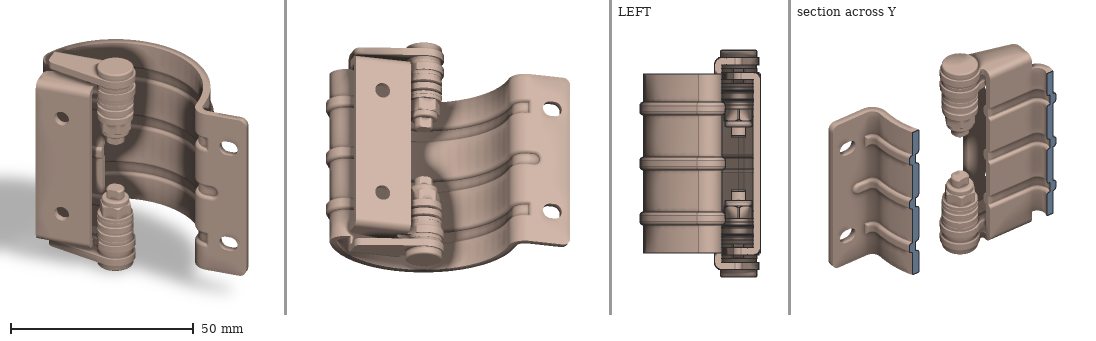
import cadquery as cq
import math


overall_length = 65.0
overall_height = 62.0
sheet = 2.0

strap_height = 49.0
strap_radius = 26.0
bend_radius = 2.5
plate_bend_x = -19.5
flange_front_y = -6.0
flange_corner_radius = 2.0
slot_x = 35.0
slot_length = 5.3
slot_width = 4.2

bead_pitch = 15.0
bead_height = 1.0
rib_width = 3.5
groove_floor_width = 3.0
middle_rib_end_x = 31.7
middle_groove_end_x = 30.0

plate_end_x = -5.4
eye_radius = 5.5
ear_corner_radius = 2.0
outer_leaf_height = 58.0
outer_ear_corner_y = -0.6
outer_notch_floor_y = 3.3
outer_notch_radius = 0.5
inner_leaf_height = 49.9
inner_leaf_left_x = -21.0
inner_ear_corner_y = 1.05
inner_ear_joint_y = 4.2
inner_notch_radius = 2.0
screw_hole_x = -13.45
screw_hole_diameter = 4.2

shaft_radius = 2.5
head_radius = 5.0
head_rounding = 0.5
spacer_radius = 4.9
tab_reach = 7.9
tab_width = 2.8
tab_root_radius = 0.8
tab_tip_radius = 0.9
spring_rim = 0.85
spring_gap = 0.8
spring_gap_radius = 3.8
nut_across_flats = 7.85
nut_corner_radius = 4.4
nut_turn = 30
nut_height = 3.4
nut_chamfer = 0.4
collar_radius = 3.8
collar_height = 1.55
collar_rounding = 0.5
tip_length = 2.8
tip_flat_offset = 1.9
tip_chamfer = 0.4

outer_bend = bend_radius + sheet
plate_bend_y = math.sqrt((strap_radius - outer_bend) ** 2 - plate_bend_x ** 2)
plate_front_y = plate_bend_y - outer_bend
plate_back_y = plate_front_y + sheet
flange_back_y = flange_front_y + sheet
flange_bend_x = strap_radius - sheet + outer_bend
flange_bend_y = flange_front_y + outer_bend
strap_left_x = plate_bend_x - outer_bend - bead_height
flange_end_x = strap_left_x + overall_length
inner_plate_back_y = flange_front_y + sheet

outer_ear_top = outer_leaf_height / 2
outer_ear_bottom = outer_ear_top - sheet
inner_ear_top = inner_leaf_height / 2
inner_ear_bottom = inner_ear_top - sheet
washer_thickness = (outer_ear_bottom - inner_ear_top) / 2
head_height = overall_height / 2 - outer_ear_top

bead_diagonal = bead_height * math.sqrt(0.5)


def circle_point(center_x, center_y, radius, degrees):
    angle = math.radians(degrees)
    return (center_x + radius * math.cos(angle), center_y + radius * math.sin(angle))


def with_mirror_below(upper):
    return upper.union(upper.mirror("XY"))


def cylinder(radius, bottom, height):
    return cq.Workplane("XY").workplane(offset=bottom).circle(radius).extrude(height)


def round_upright_edge(solid, x, y, radius):
    """Fillet the edge parallel to Z that stands at (x, y)."""
    middle_z = solid.val().Center().z
    edge = cq.selectors.NearestToPointSelector((x, y, middle_z))
    return solid.edges("|Z").edges(edge).fillet(radius)


def strap_path(end_x):
    """Line along the outer face of the strap, from the hinge plate to end_x on the flange."""
    tangent_angle = math.degrees(math.atan2(plate_bend_y, plate_bend_x))
    bend_middle_angle = (tangent_angle + 270) / 2
    path = (
        cq.Workplane("XY")
        .moveTo(plate_end_x, plate_front_y)
        .lineTo(plate_bend_x, plate_front_y)
        .threePointArc(
            circle_point(plate_bend_x, plate_bend_y, outer_bend, bend_middle_angle),
            circle_point(0, 0, strap_radius, tangent_angle),
        )
        .threePointArc(circle_point(0, 0, strap_radius, tangent_angle / 2), (strap_radius, 0))
        .lineTo(strap_radius, flange_bend_y)
        .threePointArc(
            circle_point(flange_bend_x, flange_bend_y, bend_radius, 225),
            (flange_bend_x, flange_back_y),
        )
    )
    if end_x > flange_bend_x:
        path = path.lineTo(end_x, flange_back_y)
    return path


def section_plane(depth, z):
    """Cross-section plane at the start of the strap, sunk by depth from the outer face.

    Local x is Z and local y points out of the clamp.
    """
    origin = (plate_end_x, plate_front_y + depth, z)
    return cq.Workplane(cq.Plane(origin=origin, xDir=(0, 0, 1), normal=(1, 0, 0)))


def strap_sheet():
    section = section_plane(sheet / 2, 0).rect(strap_height, sheet)
    strap = section.sweep(strap_path(flange_end_x))
    strap = strap.edges("|Y and >X").fillet(flange_corner_radius)
    slots = (
        cq.Workplane("XZ", origin=(0, flange_back_y, 0))
        .pushPoints([(slot_x, bead_pitch), (slot_x, -bead_pitch)])
        .slot2D(slot_length, slot_width)
        .extrude(sheet)
    )
    return strap.cut(slots)


def half_rib(plane):
    """Half of the rib section from its middle line outwards; local y is the height above the sheet."""
    half = rib_width / 2
    shoulder = half - bead_height
    root = -sheet / 4
    return (
        plane.moveTo(0, root)
        .lineTo(half, root)
        .lineTo(half, 0)
        .threePointArc((shoulder + bead_diagonal, bead_diagonal), (shoulder, bead_height))
        .lineTo(0, bead_height)
    )


def half_groove(plane):
    """Half of the groove section from its middle line outwards; local y is the depth into the sheet."""
    floor = groove_floor_width / 2
    rim = floor + bead_height
    clearance = -bead_height / 4
    return (
        plane.moveTo(0, clearance)
        .lineTo(rim, clearance)
        .lineTo(rim, 0)
        .threePointArc((rim - bead_diagonal, bead_height - bead_diagonal), (floor, bead_height))
        .lineTo(0, bead_height)
    )


def middle_rib():
    swept = half_rib(section_plane(0, 0)).mirrorY().sweep(strap_path(middle_rib_end_x))
    end_plane = cq.Workplane("XY", origin=(middle_rib_end_x, flange_back_y, 0))
    return swept.union(half_rib(end_plane).close().revolve(360, (0, 0), (0, 1)))


def middle_groove():
    swept = half_groove(section_plane(sheet, 0)).mirrorY().sweep(strap_path(middle_groove_end_x))
    end_plane = cq.Workplane("XY", origin=(middle_groove_end_x, flange_front_y, 0))
    return swept.union(half_groove(end_plane).close().revolve(360, (0, 0), (0, 1)))


def side_rib(z):
    """Rib that stops just past the flange bend, with its end rounded over."""
    swept = half_rib(section_plane(0, z)).mirrorY().sweep(strap_path(flange_bend_x))
    end_origin = (flange_bend_x, flange_back_y, z)
    end_plane = cq.Plane(origin=end_origin, xDir=(0, 0, -1), normal=(1, 0, 0))
    end = half_rib(cq.Workplane(end_plane)).mirrorY().extrude(bead_height)
    rounding = (
        cq.Workplane("XY", origin=end_origin)
        .circle(bead_height)
        .extrude(rib_width / 2, both=True)
    )
    return swept.union(end.intersect(rounding))


def side_groove(z):
    """Groove whose floor stops at the flange bend, with its flared rim running around the end."""
    cutter = half_groove(section_plane(sheet, z)).mirrorY().sweep(strap_path(flange_bend_x))
    half_floor = groove_floor_width / 2

    def flare(flare_z):
        return (
            cq.Workplane("XY", origin=(flange_bend_x, flange_front_y, flare_z))
            .lineTo(bead_height, 0)
            .threePointArc((bead_height - bead_diagonal, bead_height - bead_diagonal), (0, bead_height))
            .close()
        )

    end_flare = flare(z - half_floor).extrude(groove_floor_width)
    cutter = cutter.union(end_flare)
    for corner_z in (z - half_floor, z + half_floor):
        cutter = cutter.union(flare(corner_z).revolve(360, (0, 0), (0, 1)))
    return cutter


def clamp_strap():
    strap = strap_sheet().union(middle_rib())
    for z in (bead_pitch, -bead_pitch):
        strap = strap.union(side_rib(z))
    return strap


def leaf_plate(left_x, front_y, height):
    width = plate_end_x - left_x
    return cq.Workplane("XY").box(width, sheet, height).translate(
        (left_x + width / 2, front_y + sheet / 2, 0)
    )


def outer_leaf():
    """Plate that carries on from the strap, with an ear bent forward at each end."""
    corner_x = plate_bend_x
    to_corner = math.atan2(outer_ear_corner_y, corner_x)
    tangent_angle = to_corner + math.acos(eye_radius / math.hypot(corner_x, outer_ear_corner_y))
    tangent = circle_point(0, 0, eye_radius, math.degrees(tangent_angle))
    notch_joint_x = -math.sqrt(eye_radius ** 2 - outer_notch_floor_y ** 2)
    notch_diagonal = outer_notch_radius * (1 - math.sqrt(0.5))
    ear = (
        cq.Workplane("XY")
        .workplane(offset=outer_ear_bottom)
        .moveTo(corner_x, plate_back_y)
        .lineTo(plate_end_x, plate_back_y)
        .lineTo(plate_end_x, outer_notch_floor_y + outer_notch_radius)
        .threePointArc(
            (plate_end_x + notch_diagonal, outer_notch_floor_y + notch_diagonal),
            (plate_end_x + outer_notch_radius, outer_notch_floor_y),
        )
        .lineTo(notch_joint_x, outer_notch_floor_y)
        .threePointArc((eye_radius, 0), tangent)
        .lineTo(corner_x, outer_ear_corner_y)
        .close()
        .extrude(sheet)
    )
    ear = round_upright_edge(ear, corner_x, outer_ear_corner_y, ear_corner_radius)
    leaf = leaf_plate(corner_x, plate_front_y, outer_leaf_height).union(with_mirror_below(ear))
    return leaf.edges("|X and >Y").edges("<Z or >Z").fillet(sheet)


def inner_leaf():
    """Channel between the outer ears: a plate with an eyed ear bent back at each end."""
    notch_end_x = plate_end_x + inner_notch_radius
    notch_end_y = -math.sqrt(eye_radius ** 2 - notch_end_x ** 2)
    notch_diagonal = inner_notch_radius * math.sqrt(0.5)
    joint_x = -math.sqrt(eye_radius ** 2 - inner_ear_joint_y ** 2)
    ear = (
        cq.Workplane("XY")
        .workplane(offset=inner_ear_bottom)
        .moveTo(inner_leaf_left_x, flange_front_y)
        .lineTo(plate_end_x, flange_front_y)
        .lineTo(plate_end_x, notch_end_y + inner_notch_radius)
        .threePointArc(
            (plate_end_x + notch_diagonal, notch_end_y + notch_diagonal),
            (notch_end_x, notch_end_y),
        )
        .threePointArc((eye_radius, 0), (joint_x, inner_ear_joint_y))
        .lineTo(inner_leaf_left_x, inner_ear_corner_y)
        .close()
        .extrude(sheet)
    )
    ear = round_upright_edge(ear, inner_leaf_left_x, inner_ear_corner_y, ear_corner_radius)
    plate = leaf_plate(inner_leaf_left_x, flange_front_y, inner_leaf_height)
    leaf = plate.union(with_mirror_below(ear))
    leaf = leaf.edges("|X and <Y").edges("<Z or >Z").fillet(sheet)
    screw_holes = (
        cq.Workplane("XZ", origin=(0, inner_plate_back_y, 0))
        .pushPoints([(screw_hole_x, bead_pitch), (screw_hole_x, -bead_pitch)])
        .circle(screw_hole_diameter / 2)
        .extrude(sheet)
    )
    return leaf.cut(screw_holes).cut(cylinder(shaft_radius, -inner_ear_top, inner_leaf_height))


def tab_washer(bottom, rounded_edge):
    """Washer with a tab pointing to -X; the tip edge facing away from the ear is rounded."""
    tab = (
        cq.Workplane("XY", origin=(-tab_reach / 2, 0, bottom))
        .rect(tab_reach, tab_width)
        .extrude(washer_thickness)
        .edges("<X and |Y")
        .edges(rounded_edge)
        .fillet(tab_tip_radius)
    )
    disc = cylinder(head_radius, bottom, washer_thickness)
    washer = disc.union(tab)
    root_x = -math.sqrt(head_radius ** 2 - (tab_width / 2) ** 2)
    for side in (1, -1):
        washer = round_upright_edge(washer, root_x, side * tab_width / 2, tab_root_radius)
    return washer


def disc_springs(top):
    """Stack of disc springs: three rims with a V-shaped opening between neighbours.

    Returns the stack and the height of its lower end.
    """
    rims = (spring_rim, 2 * spring_rim, spring_rim)
    height = sum(rims) + 2 * spring_gap
    stack = cylinder(head_radius, top - height, height)
    z = top
    for rim in rims[:-1]:
        z -= rim
        opening = (
            cq.Workplane("XZ")
            .moveTo(head_radius, z)
            .lineTo(spring_gap_radius, z - spring_gap / 2)
            .lineTo(head_radius, z - spring_gap)
            .close()
            .revolve(360, (0, 0), (0, 1))
        )
        stack = stack.cut(opening)
        z -= spring_gap
    return stack, top - height


def lock_nut(top):
    """Hexagon nut with a round collar below it; returns the nut and the height of its lower end."""
    bottom = top - nut_height
    hexagon = (
        cq.Workplane("XY")
        .workplane(offset=bottom)
        .transformed(rotate=(0, 0, nut_turn))
        .polygon(6, nut_across_flats, circumscribed=True)
        .extrude(nut_height)
    )
    corner_limit = cylinder(nut_corner_radius, bottom, nut_height).faces("<Z").chamfer(nut_chamfer)
    collar_bottom = bottom - collar_height
    collar = cylinder(collar_radius, collar_bottom, collar_height)
    collar = collar.faces("<Z").edges().fillet(collar_rounding)
    return hexagon.intersect(corner_limit).union(collar), collar_bottom


def pin_tip(top):
    tip = cylinder(shaft_radius, top - tip_length, tip_length).faces("<Z").chamfer(tip_chamfer)
    between_flats = (
        cq.Workplane("XY", origin=(0, 0, top))
        .rect(2 * shaft_radius, 2 * tip_flat_offset)
        .extrude(-tip_length)
    )
    return tip.intersect(between_flats)


def hinge_pin():
    """Upper pin with its hardware, from the head down to the tip."""
    head = cylinder(head_radius, outer_ear_top, head_height).faces(">Z").edges().fillet(head_rounding)
    ear_spacer = cylinder(spacer_radius, outer_ear_bottom - washer_thickness, washer_thickness)
    upper_tab = tab_washer(inner_ear_top, ">Z")
    lower_tab_bottom = inner_ear_bottom - washer_thickness
    lower_tab = tab_washer(lower_tab_bottom, "<Z")
    spring_top = lower_tab_bottom - washer_thickness
    spring_spacer = cylinder(spacer_radius, spring_top, washer_thickness)
    springs, spring_bottom = disc_springs(spring_top)
    nut_top = spring_bottom - washer_thickness
    nut_spacer = cylinder(spacer_radius, nut_top, washer_thickness)
    nut, nut_bottom = lock_nut(nut_top)
    pin = cylinder(shaft_radius, nut_bottom, outer_ear_top - nut_bottom)
    hardware = (ear_spacer, upper_tab, lower_tab, spring_spacer, springs, nut_spacer, nut)
    for piece in (head, *hardware, pin_tip(nut_bottom)):
        pin = pin.union(piece)
    return pin


def clamp():
    """Strap, outer leaf and both pins as one body."""
    body = clamp_strap().union(outer_leaf())
    for cutter in (middle_groove(), side_groove(bead_pitch), side_groove(-bead_pitch)):
        body = body.cut(cutter)
    return body.union(with_mirror_below(hinge_pin()))


clamp_body = clamp()
inner_leaf_body = inner_leaf()
result = cq.Compound.makeCompound([clamp_body.val(), inner_leaf_body.val()])